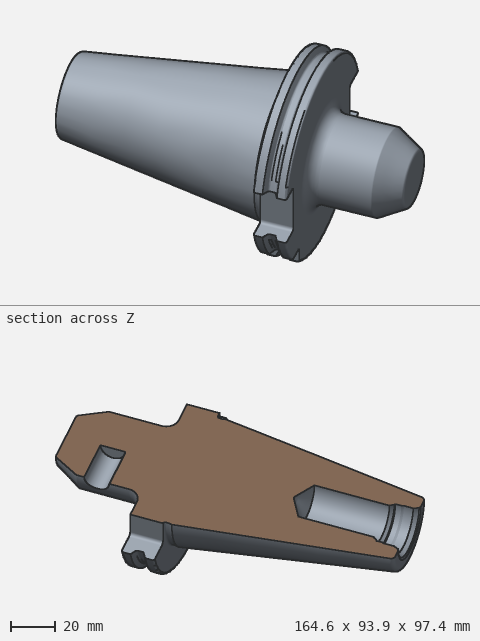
import cadquery as cq
import math

total_length = 164.6
gauge_x = 100.9
flange_start = 104.9
flange_width = 15.8
flange_end = flange_start + flange_width
groove_center = flange_start + flange_width / 2
nose_cone_start = 151.8

gauge_radius = 34.9
taper_slope = 7 / 48
small_end_radius = gauge_radius - gauge_x * taper_slope
neck_radius = 34.5
flange_radius = 48.7
nose_radius = 21.0
nose_cone_angle = math.radians(30)
nose_tip_radius = nose_radius - (total_length - nose_cone_start) * math.tan(nose_cone_angle)

neck_start = gauge_x + 1.3
small_end_round = 2.1
neck_fillet = 1.0
flange_round = 1.0
nose_fillet = 6.0
nose_shoulder_round = 1.0
nose_tip_round = 1.6

groove_depth = 3.1
groove_width = 6.9
groove_wall_angle = math.radians(30)
groove_floor_round = 1.2

slot_width = 25.7
front_slot_floor = 37.5
back_slot_floor = 35.5
slot_round = 1.6
notch_offset = 30.0
notch_round = 1.3

mouth_radius = 14.5
mouth_chamfer = 1.0
mouth_chamfer_angle = math.radians(30)
pilot_radius = 12.3
pilot_start = 3.0
pilot_end = 7.4
thread_radius = 12.0
thread_start = 8.5
thread_end = 11.4
relief_radius = 11.5
relief_start = 11.7
core_radius = 10.2
core_start = 13.5
core_end = 49.4
drill_point_angle = math.radians(59)

screw_radius = 6.0
screw_x = 142.0


def revolve_about_x(profile):
    """Turn a closed XY profile around the X axis."""
    return profile.revolve(360, (0, 0, 0), (1, 0, 0))


def taper_and_neck():
    profile = (
        cq.Workplane("XY")
        .lineTo(0, small_end_radius)
        .lineTo(gauge_x, gauge_radius)
        .lineTo(neck_start, neck_radius)
        .lineTo(flange_start - neck_fillet, neck_radius)
        .radiusArc((flange_start, neck_radius + neck_fillet), -neck_fillet)
        .lineTo(flange_end, neck_radius + neck_fillet)
        .lineTo(flange_end, 0)
        .close()
    )
    return revolve_about_x(profile).faces("<X").edges().fillet(small_end_round)


def flange():
    disc = cq.Workplane("YZ", origin=(flange_start, 0, 0)).circle(flange_radius).extrude(flange_width)
    return disc.edges().fillet(flange_round).cut(rim_groove())


def rim_groove():
    mouth_half = groove_width / 2
    floor_radius = flange_radius - groove_depth
    floor_half = mouth_half - groove_depth * math.tan(groove_wall_angle)
    turn = math.pi / 2 - groove_wall_angle
    tangent = groove_floor_round * math.tan(turn / 2)
    wall_half = floor_half + tangent * math.sin(groove_wall_angle)
    wall_radius = floor_radius + tangent * math.cos(groove_wall_angle)
    profile = (
        cq.Workplane("XY", origin=(groove_center, 0, 0))
        .moveTo(-mouth_half, flange_radius)
        .lineTo(-wall_half, wall_radius)
        .radiusArc((tangent - floor_half, floor_radius), -groove_floor_round)
        .lineTo(floor_half - tangent, floor_radius)
        .radiusArc((wall_half, wall_radius), -groove_floor_round)
        .lineTo(mouth_half, flange_radius)
        .close()
    )
    return profile.revolve(360, (-groove_center, 0, 0), (1.6 - groove_center, 0, 0))


def flange_cutter(y_size, z_size):
    """A block through the flange width, with its low corner at Y = Z = 0."""
    return cq.Workplane("XY", origin=(flange_start, 0, 0)).box(
        flange_width, y_size, z_size, centered=False
    )


def drive_slot(floor, side):
    block = flange_cutter(flange_radius, slot_width).edges("|X and <Y").fillet(slot_round)
    slot = block.translate((0, floor, -slot_width / 2))
    return slot if side > 0 else slot.mirror("XZ")


def locating_notch():
    block = flange_cutter(flange_radius, flange_radius).edges("|X and <Y and <Z").fillet(notch_round)
    return block.translate((0, notch_offset, notch_offset)).mirror("XZ").mirror("XY")


def nose():
    fillet_end = flange_end + nose_fillet
    profile = (
        cq.Workplane("XY")
        .moveTo(flange_end, 0)
        .lineTo(flange_end, nose_radius + nose_fillet)
        .radiusArc((fillet_end, nose_radius), -nose_fillet)
        .lineTo(nose_cone_start, nose_radius)
        .lineTo(total_length, nose_tip_radius)
        .lineTo(total_length, 0)
        .close()
    )
    rounded_tip = revolve_about_x(profile).faces(">X").edges().fillet(nose_tip_round)
    shoulder_edge = cq.selectors.NearestToPointSelector((nose_cone_start, 0, 0))
    return rounded_tip.edges(shoulder_edge).fillet(nose_shoulder_round)


def small_end_bore():
    point_depth = core_radius / math.tan(drill_point_angle)
    profile = (
        cq.Workplane("XY")
        .lineTo(0, mouth_radius)
        .lineTo(mouth_chamfer * math.tan(mouth_chamfer_angle), mouth_radius - mouth_chamfer)
        .lineTo(pilot_start, pilot_radius)
        .lineTo(pilot_end, pilot_radius)
        .lineTo(thread_start, thread_radius)
        .lineTo(thread_end, thread_radius)
        .lineTo(relief_start, relief_radius)
        .lineTo(core_start, core_radius)
        .lineTo(core_end, core_radius)
        .lineTo(core_end + point_depth, 0)
        .close()
    )
    return revolve_about_x(profile)


def clamp_screw_hole():
    return cq.Workplane("XZ", origin=(screw_x, 0, 0)).circle(screw_radius).extrude(-nose_radius)


body = taper_and_neck().union(flange()).union(nose())
body = body.cut(drive_slot(front_slot_floor, -1)).cut(drive_slot(back_slot_floor, 1))
body = body.cut(locating_notch())
result = body.cut(small_end_bore()).cut(clamp_screw_hole())